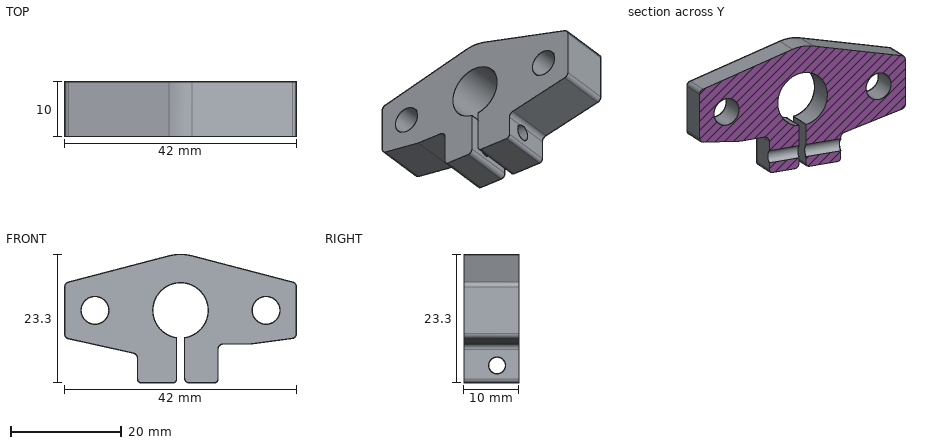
import cadquery as cq
import math

width = 42.0
thickness = 10.0
height = 23.32
crown_top = 10.17
foot_bottom = crown_top - height

bore_diameter = 10.0
slot_width = 1.4
mount_hole_diameter = 5.0
mount_hole_spacing = 31.0
clamp_hole_diameter = 3.0
clamp_hole_y = 1.0
clamp_hole_height = 3.17

roof_angle = math.radians(14.65)
crown_radius = 8.25
flange_bottom = -5.0
left_underside_angle = math.radians(12.5)
right_underside = -6.1
right_underside_bend_x = 12.8

left_foot_x = -7.8
right_foot_x = 6.8

flange_end_radius = 0.9
inner_corner_radius = 1.0
foot_radius = 0.7
slot_right_radius = 0.9

half_width = width / 2
half_slot = slot_width / 2
apex_z = crown_top + crown_radius * (1 / math.cos(roof_angle) - 1)
shoulder_z = apex_z - half_width * math.tan(roof_angle)
left_inner_z = flange_bottom - (left_foot_x + half_width) * math.tan(left_underside_angle)


def round_corner(body, x, z, radius):
    """Fillet the through-thickness edge at the outline corner (x, z)."""
    reach = 0.01
    box = cq.selectors.BoxSelector(
        (x - reach, -thickness, z - reach),
        (x + reach, thickness, z + reach),
    )
    return body.edges("|Y").edges(box).fillet(radius)


def make_body():
    """Extrude the sharp outline with the clamping slot open at the bottom."""
    outline = [
        (0, apex_z),
        (half_width, shoulder_z),
        (half_width, flange_bottom),
        (right_underside_bend_x, right_underside),
        (right_foot_x, right_underside),
        (right_foot_x, foot_bottom),
        (half_slot, foot_bottom),
        (half_slot, 0),
        (-half_slot, 0),
        (-half_slot, foot_bottom),
        (left_foot_x, foot_bottom),
        (left_foot_x, left_inner_z),
        (-half_width, flange_bottom),
        (-half_width, shoulder_z),
    ]
    return cq.Workplane("XZ").polyline(outline).close().extrude(thickness / 2, both=True)


def round_outline(body):
    """Round the crown, flange ends, inner corners and feet."""
    corners = [
        (0, apex_z, crown_radius),
        (half_width, shoulder_z, flange_end_radius),
        (-half_width, shoulder_z, flange_end_radius),
        (half_width, flange_bottom, flange_end_radius),
        (-half_width, flange_bottom, flange_end_radius),
        (left_foot_x, left_inner_z, inner_corner_radius),
        (right_foot_x, right_underside, inner_corner_radius),
        (left_foot_x, foot_bottom, foot_radius),
        (-half_slot, foot_bottom, foot_radius),
        (half_slot, foot_bottom, slot_right_radius),
        (right_foot_x, foot_bottom, foot_radius),
    ]
    for x, z, radius in corners:
        body = round_corner(body, x, z, radius)
    return body


def cut_bore_and_mount_holes(body):
    """Cut the shaft bore and the two mounting holes through the thickness."""
    bore = cq.Workplane("XZ").circle(bore_diameter / 2).extrude(thickness, both=True)
    mount_holes = (
        cq.Workplane("XZ")
        .pushPoints([(-mount_hole_spacing / 2, 0), (mount_hole_spacing / 2, 0)])
        .circle(mount_hole_diameter / 2)
        .extrude(thickness, both=True)
    )
    return body.cut(bore).cut(mount_holes)


def cut_clamp_hole(body):
    """Cut the clamp screw hole along X through both feet."""
    hole = (
        cq.Workplane("YZ")
        .center(clamp_hole_y, foot_bottom + clamp_hole_height)
        .circle(clamp_hole_diameter / 2)
        .extrude(half_width, both=True)
    )
    return body.cut(hole)


result = make_body()
result = round_outline(result)
result = cut_bore_and_mount_holes(result)
result = cut_clamp_hole(result)